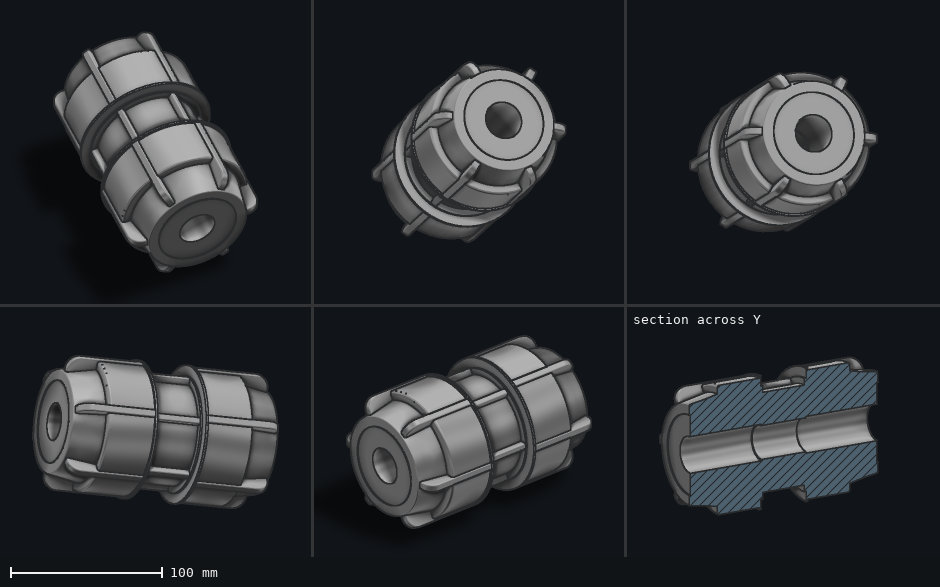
import cadquery as cq
import math

HALF_LENGTH = 73.0
COLLAR_INNER_X = 15.9
FLANGE_INNER_X = 17.2
FLANGE_OUTER_X = 18.8
DRUM_OUTER_X = 51.2
NUT_RIB_END_X = 71.5

CORE_RADIUS = 34.6
COLLAR_RADIUS = 78.3 / 2
FLANGE_RADIUS = 92.0 / 2
DRUM_RADIUS = 44.7
TAPER_RADIUS = 38.8
END_RADIUS = 35.0

DRUM_ROUND = 1.8
END_ROUND = 0.9
RIB_ROUND = 1.0
RIB_CORNER_RADIUS = 9.0

BORE_RADIUS = 23.0 / 2
SOCKET_RADIUS = 25.0 / 2
RECESS_RADIUS = 55.0 / 2
RECESS_DEPTH = 0.7

RIB_COUNT = 6
NUT_RIB_THICKNESS = 5.3
CORE_RIB_THICKNESS = 4.5
RIB_ROOT_RADIUS = 29.2

DIAGONAL = math.sqrt(0.5)


def half_body():
    """Revolved core, collar, flange, drum and tapered end on the +X side."""
    drum_centre = (DRUM_OUTER_X - DRUM_ROUND, DRUM_RADIUS - DRUM_ROUND)
    end_centre = (HALF_LENGTH - END_ROUND, END_RADIUS - END_ROUND)
    return (
        cq.Workplane("XY")
        .moveTo(0, 0)
        .lineTo(0, CORE_RADIUS)
        .lineTo(COLLAR_INNER_X, CORE_RADIUS)
        .lineTo(COLLAR_INNER_X, COLLAR_RADIUS)
        .lineTo(FLANGE_INNER_X, COLLAR_RADIUS)
        .lineTo(FLANGE_INNER_X, FLANGE_RADIUS)
        .lineTo(FLANGE_OUTER_X, FLANGE_RADIUS)
        .lineTo(FLANGE_OUTER_X, DRUM_RADIUS)
        .lineTo(drum_centre[0], DRUM_RADIUS)
        .threePointArc(
            (drum_centre[0] + DRUM_ROUND * DIAGONAL, drum_centre[1] + DRUM_ROUND * DIAGONAL),
            (DRUM_OUTER_X, drum_centre[1]),
        )
        .lineTo(DRUM_OUTER_X, TAPER_RADIUS)
        .lineTo(end_centre[0], END_RADIUS)
        .threePointArc(
            (end_centre[0] + END_ROUND * DIAGONAL, end_centre[1] + END_ROUND * DIAGONAL),
            (HALF_LENGTH, end_centre[1]),
        )
        .lineTo(HALF_LENGTH, 0)
        .close()
        .revolve(360, (0, 0, 0), (1, 0, 0))
    )


def nut_rib():
    """Rib along +Y of the +X nut: rounded outer corner and softened outer edges."""
    plate = (
        cq.Workplane("XY")
        .moveTo(FLANGE_OUTER_X, RIB_ROOT_RADIUS)
        .lineTo(FLANGE_OUTER_X, FLANGE_RADIUS)
        .lineTo(NUT_RIB_END_X, FLANGE_RADIUS)
        .lineTo(NUT_RIB_END_X, RIB_ROOT_RADIUS)
        .close()
        .extrude(NUT_RIB_THICKNESS / 2, both=True)
    )
    cornered = plate.edges(">X and >Y").fillet(RIB_CORNER_RADIUS)
    return cornered.faces(">Y").edges("|X").fillet(RIB_ROUND)


def core_rib():
    """Rib along +Y of the core, spanning between the two collars."""
    return (
        cq.Workplane("XY")
        .box(2 * COLLAR_INNER_X, COLLAR_RADIUS - RIB_ROOT_RADIUS, CORE_RIB_THICKNESS)
        .translate((0, (COLLAR_RADIUS + RIB_ROOT_RADIUS) / 2, 0))
        .faces(">Y")
        .edges("|X")
        .fillet(RIB_ROUND)
    )


def bore_cutter():
    """Through bore with a wider socket and a face recess at each end."""
    cutter = cq.Workplane("YZ").circle(BORE_RADIUS).extrude(HALF_LENGTH, both=True)
    for start_x, radius in (
        (FLANGE_INNER_X, SOCKET_RADIUS),
        (HALF_LENGTH - RECESS_DEPTH, RECESS_RADIUS),
    ):
        pocket = cq.Workplane("YZ").workplane(offset=start_x).circle(radius).extrude(HALF_LENGTH - start_x)
        cutter = cutter.union(pocket).union(pocket.mirror("YZ"))
    return cutter


body = half_body()
body = body.union(body.mirror("YZ"))

rib_set = nut_rib()
rib_set = core_rib().union(rib_set).union(rib_set.mirror("YZ"))
for index in range(RIB_COUNT):
    angle = index * 360 / RIB_COUNT
    body = body.union(rib_set.rotate((0, 0, 0), (1, 0, 0), angle))

result = body.cut(bore_cutter())